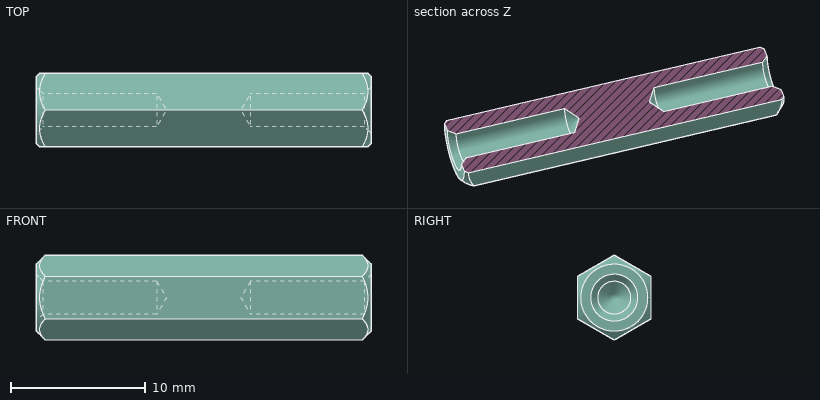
import cadquery as cq
import math

length = 25.0
across_flats = 5.5
across_corners = across_flats / math.cos(math.pi / 6)

end_face_diameter = 5.0
chamfer = (across_corners - end_face_diameter) / 2

hole_diameter = 2.45
countersink_diameter = 3.5
hole_depth = 9.0
drill_point_angle = 118.0


def chamfered_hexagon():
    hexagon = (
        cq.Workplane("YZ")
        .polygon(6, across_corners)
        .extrude(length / 2, both=True)
        .rotate((0, 0, 0), (1, 0, 0), 90)
    )
    envelope = (
        cq.Workplane("YZ")
        .circle(across_corners / 2)
        .extrude(length / 2, both=True)
        .faces("<X or >X")
        .chamfer(chamfer)
    )
    return hexagon.intersect(envelope)


def end_hole():
    """Cutter for the hole that opens on the -X end."""
    end = -length / 2
    radius = hole_diameter / 2
    mouth_radius = countersink_diameter / 2
    countersink_depth = mouth_radius - radius
    point_depth = radius / math.tan(math.radians(drill_point_angle / 2))
    return (
        cq.Workplane("XY")
        .moveTo(end, 0)
        .lineTo(end, mouth_radius)
        .lineTo(end + countersink_depth, radius)
        .lineTo(end + hole_depth, radius)
        .lineTo(end + hole_depth + point_depth, 0)
        .close()
        .revolve(360, (0, 0, 0), (1, 0, 0))
    )


hole = end_hole()
result = chamfered_hexagon().cut(hole).cut(hole.mirror("YZ"))